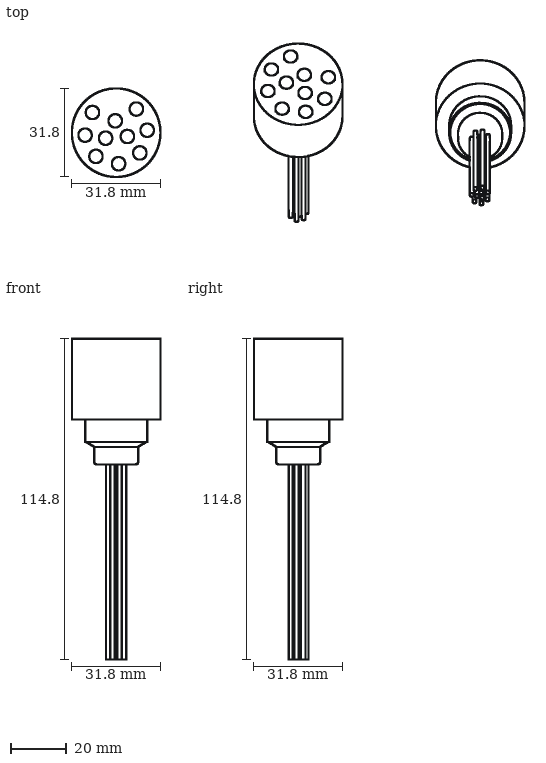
import cadquery as cq
import math

overall_height = 114.8
wire_length = 69.8
socket_height = 28.9
shoulder_height = 8.0
taper_height = 1.7
base_top = overall_height - socket_height
shoulder_bottom = base_top - shoulder_height
neck_top = shoulder_bottom - taper_height

socket_diameter = 31.8
shoulder_diameter = 22.3
taper_top_diameter = 21.4
neck_diameter = 15.8
neck_fillet = 1.0

hole_diameter = 4.8
hole_depth = socket_height / 2
hole_pattern_angle = 94.5
outer_hole_ring = 11.1
outer_hole_places = 8
inner_hole_ring = 4.2
inner_hole_angle = 113

wire_diameter = 1.5
wire_pattern_angle = 89
outer_wire_ring = 3.0
outer_wire_count = 7
inner_wire_ring = 1.1
inner_wire_count = 3


def polar_point(radius, angle):
    """Point in the XY plane at an angle in degrees from +X."""
    turn = math.radians(angle)
    return (radius * math.cos(turn), radius * math.sin(turn))


def even_ring(radius, count, start_angle):
    """Evenly spaced points on a circle, the first one at start_angle."""
    return [polar_point(radius, start_angle + i * 360 / count) for i in range(count)]


def make_socket():
    """Cylindrical socket with blind contact holes in its top face."""
    outer_holes = even_ring(outer_hole_ring, outer_hole_places, hole_pattern_angle)[1:]
    inner_holes = [
        polar_point(inner_hole_ring, hole_pattern_angle + offset)
        for offset in (-inner_hole_angle, 0, inner_hole_angle)
    ]
    socket = cq.Workplane("XY", origin=(0, 0, base_top)).circle(socket_diameter / 2).extrude(socket_height)
    holes = (
        cq.Workplane("XY", origin=(0, 0, overall_height))
        .pushPoints(outer_holes + inner_holes)
        .circle(hole_diameter / 2)
        .extrude(-hole_depth)
    )
    return socket.cut(holes)


def make_wired_base():
    """Stepped base below the socket, carrying the wires on its bottom face."""
    base = (
        cq.Workplane("XZ")
        .moveTo(0, wire_length)
        .lineTo(neck_diameter / 2, wire_length)
        .lineTo(neck_diameter / 2, neck_top)
        .lineTo(taper_top_diameter / 2, shoulder_bottom)
        .lineTo(shoulder_diameter / 2, shoulder_bottom)
        .lineTo(shoulder_diameter / 2, base_top)
        .lineTo(0, base_top)
        .close()
        .revolve(360, (0, 0), (0, 1))
        .faces("<Z")
        .edges()
        .fillet(neck_fillet)
    )
    outer_wires = even_ring(outer_wire_ring, outer_wire_count, wire_pattern_angle)
    inner_wires = even_ring(inner_wire_ring, inner_wire_count, wire_pattern_angle)
    wires = (
        cq.Workplane("XY")
        .pushPoints(outer_wires + inner_wires)
        .circle(wire_diameter / 2)
        .extrude(wire_length)
    )
    return base.union(wires)


socket = make_socket()
wired_base = make_wired_base()

result = cq.Compound.makeCompound([socket.val(), wired_base.val()])